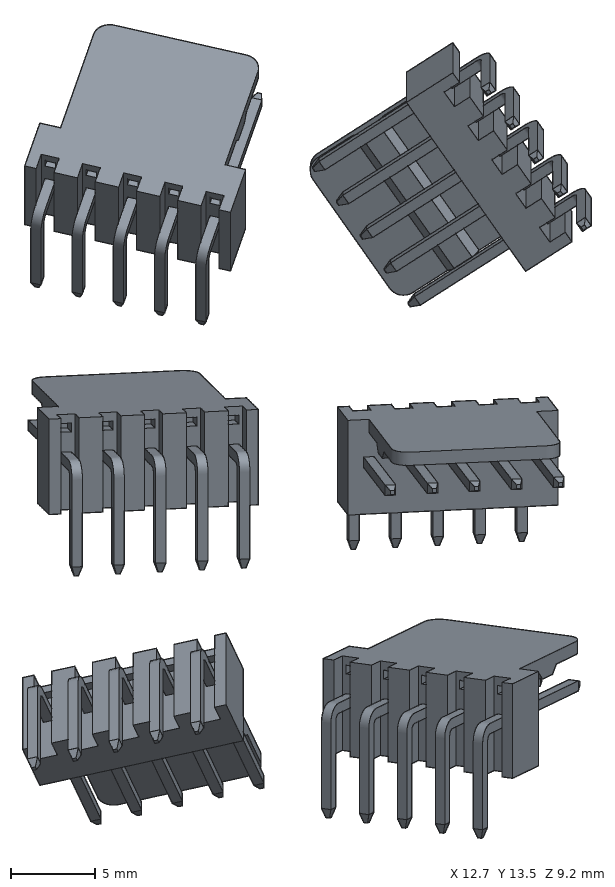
import cadquery as cq


total_width = 12.7
total_length = 13.52
total_height = 9.2

pin_count = 5
pin_pitch = 2.54
pin_size = 0.64
pin_tip_size = 0.25
pin_taper_length = 0.6
pin_axis_drop = 2.61
pin_front_reach = 2.01
pin_back_setback = 0.72
bend_outer_radius = 1.0
bend_inner_radius = bend_outer_radius - pin_size

block_depth = 3.31
block_height = 5.8
slot_width = 1.1
slot_depth = 1.1

pocket_width = pin_size
pocket_height = 0.53
pocket_depth = 1.1

plate_width = 10.14
plate_thickness = 0.81
plate_corner_radius = 1.0
ridge_height = 0.51
ridge_ramp_length = 0.49
ridge_flat_length = 1.28
ridge_start_y = 5.77

plate_end_y = total_length - pin_front_reach
pin_back_end_y = plate_end_y - pin_back_setback
leg_axis_y = pin_size / 2 - pin_front_reach
pin_positions = [(i - (pin_count - 1) / 2) * pin_pitch for i in range(pin_count)]


def make_block():
    """Housing block with an open vertical slot in front of every pin."""
    block = cq.Workplane("XY").box(
        total_width, block_depth, block_height, centered=(True, False, False)
    )
    block = block.translate((0, 0, -block_height))
    for x in pin_positions:
        slot = cq.Workplane("XY").box(
            slot_width, slot_depth, block_height, centered=(True, False, False)
        )
        block = block.cut(slot.translate((x, 0, -block_height)))
    return block


def make_pocket(x):
    """Blind pocket in a slot floor, centered on the level of the plate underside."""
    pocket = cq.Workplane("XY").box(
        pocket_width, pocket_depth, pocket_height, centered=(True, False, True)
    )
    return pocket.translate((x, slot_depth, -plate_thickness))


def make_plate():
    """Flat plate behind the block, flush with its top, with rounded far corners."""
    plate_length = plate_end_y - block_depth
    plate = cq.Workplane("XY").box(
        plate_width, plate_length, plate_thickness, centered=(True, False, False)
    )
    plate = plate.faces(">Y").edges("|Z").fillet(plate_corner_radius)
    return plate.translate((0, block_depth, -plate_thickness))


def make_ridge():
    """Latch ridge with ramped sides, running the full width of the plate."""
    flat_start_y = ridge_start_y + ridge_ramp_length
    flat_end_y = flat_start_y + ridge_flat_length
    ridge_end_y = flat_end_y + ridge_ramp_length
    ridge_bottom = -plate_thickness - ridge_height
    return (
        cq.Workplane("YZ")
        .moveTo(ridge_start_y, -plate_thickness)
        .lineTo(flat_start_y, ridge_bottom)
        .lineTo(flat_end_y, ridge_bottom)
        .lineTo(ridge_end_y, -plate_thickness)
        .close()
        .extrude(plate_width / 2, both=True)
    )


def make_pin_tip(base_plane):
    """Square pyramid frustum tapering along the normal of the given plane."""
    return (
        cq.Workplane(base_plane)
        .rect(pin_size, pin_size)
        .workplane(offset=pin_taper_length)
        .rect(pin_tip_size, pin_tip_size)
        .loft(ruled=True)
    )


def make_pin():
    """Square pin at X = 0, bent down in front of the block, tapered at both ends."""
    arm_top = pin_size / 2 - pin_axis_drop
    arm_bottom = arm_top - pin_size
    arm_end_y = pin_back_end_y - pin_taper_length
    leg_front_y = -pin_front_reach
    leg_back_y = leg_front_y + pin_size
    leg_end_z = pin_taper_length - total_height
    bend_y = leg_front_y + bend_outer_radius
    bend_z = arm_top - bend_outer_radius

    body = (
        cq.Workplane("YZ")
        .moveTo(arm_end_y, arm_top)
        .lineTo(bend_y, arm_top)
        .radiusArc((leg_front_y, bend_z), -bend_outer_radius)
        .lineTo(leg_front_y, leg_end_z)
        .lineTo(leg_back_y, leg_end_z)
        .lineTo(leg_back_y, bend_z)
        .radiusArc((bend_y, arm_bottom), bend_inner_radius)
        .lineTo(arm_end_y, arm_bottom)
        .close()
        .extrude(pin_size / 2, both=True)
    )
    arm_end_plane = cq.Plane((0, arm_end_y, -pin_axis_drop), (1, 0, 0), (0, 1, 0))
    leg_end_plane = cq.Plane((0, leg_axis_y, leg_end_z), (1, 0, 0), (0, 0, -1))
    return body.union(make_pin_tip(arm_end_plane)).union(make_pin_tip(leg_end_plane))


result = make_block().union(make_plate()).union(make_ridge())
pin = make_pin()
for pin_x in pin_positions:
    result = result.cut(make_pocket(pin_x))
    result = result.union(pin.translate((pin_x, 0, 0)))